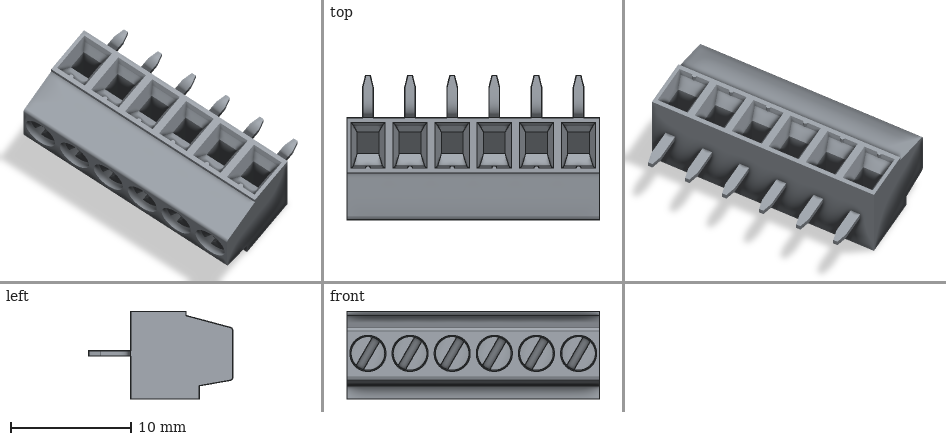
import cadquery as cq
import math


pole_count = 6
pitch = 3.5
length = pole_count * pitch
pole_positions = [(i - (pole_count - 1) / 2) * pitch for i in range(pole_count)]

depth = 8.5
height = 7.3
top_land_depth = 4.6
top_step = 0.35
top_slope_angle = 15
base_depth = 5.7
base_step = 1.1
base_slope_angle = 10
front_edge_radius = 0.3

axis_z = 3.8
recess_diameter = 3.0
recess_depth = 1.3
head_diameter = 2.8
head_setback = 0.6
slot_width = 0.7
slot_depth = 0.6
slot_angle = 60

entry_width = 2.85
entry_rear_y = -0.4
entry_front_y = -4.2
lip_depth = 0.45
lip_rear_inset = 0.24
lip_front_inset = 0.16
funnel_depth = 1.1
wire_hole_size = 1.8
wire_hole_rear_y = -1.2
wire_hole_depth = 4.0
rib_radius = 0.2

pin_width = 0.9
pin_thickness = 0.45
pin_length = 3.5
pin_tip_width = 0.4
pin_tip_length = 1.0


def make_housing():
    """Extrude the stepped, tapered side profile along X and round its two front edges."""
    top_slope_drop = (depth - top_land_depth) * math.tan(math.radians(top_slope_angle))
    base_slope_rise = (depth - base_depth) * math.tan(math.radians(base_slope_angle))
    profile = [
        (0, 0),
        (0, height),
        (-top_land_depth, height),
        (-top_land_depth, height - top_step),
        (-depth, height - top_step - top_slope_drop),
        (-depth, base_step + base_slope_rise),
        (-base_depth, base_step),
        (-base_depth, 0),
    ]
    housing = cq.Workplane("YZ").polyline(profile).close().extrude(length / 2, both=True)
    return housing.faces("<Y").edges("|X").fillet(front_edge_radius)


def entry_section(width, rear_y, front_y, below_top):
    """Rectangular cross-section of a wire entry at a given depth below the top face."""
    size_y = rear_y - front_y
    plane = cq.Workplane("XY", origin=(0, (rear_y + front_y) / 2, height - below_top))
    return plane.rect(width, size_y).wires().val()


def make_wire_entry():
    """Cutter for one wire entry, leaving a half-round rib on the front wall of the lip."""
    throat_width = entry_width - (entry_width - wire_hole_size) * lip_depth / funnel_depth
    mouth = entry_section(entry_width, entry_rear_y, entry_front_y, 0)
    throat = entry_section(
        throat_width, entry_rear_y - lip_rear_inset, entry_front_y + lip_front_inset, lip_depth
    )
    hole_front_y = wire_hole_rear_y - wire_hole_size
    hole_top = entry_section(wire_hole_size, wire_hole_rear_y, hole_front_y, funnel_depth)
    lip = cq.Workplane(cq.Solid.makeLoft([mouth, throat], True))
    funnel = cq.Workplane(cq.Solid.makeLoft([throat, hole_top], True))
    wire_hole = cq.Workplane(cq.Face.makeFromWires(hole_top)).wires().toPending().extrude(-wire_hole_depth)
    rib = cq.Workplane("XY", origin=(0, entry_front_y, height)).circle(rib_radius).extrude(-lip_depth)
    return lip.union(funnel).union(wire_hole).clean().cut(rib)


def make_screw_recess():
    """Cutter for one screw: the recess around the head, plus the slot in the head."""
    face = cq.Workplane("XZ", origin=(0, -depth, axis_z))
    recess = face.circle(recess_diameter / 2).extrude(-recess_depth)
    head_face = cq.Workplane("XZ", origin=(0, -depth + head_setback, axis_z))
    head = head_face.circle(head_diameter / 2).extrude(head_setback - recess_depth)
    slot = (
        head_face.transformed(rotate=(0, 0, slot_angle))
        .rect(recess_diameter, slot_width)
        .extrude(-slot_depth)
    )
    return recess.cut(head.cut(slot))


def make_pin():
    """Flat solder pin with a tapered tip, standing out of the rear face."""
    taper_start = pin_length - pin_tip_length
    outline = [
        (-pin_width / 2, 0),
        (-pin_width / 2, taper_start),
        (-pin_tip_width / 2, pin_length),
        (pin_tip_width / 2, pin_length),
        (pin_width / 2, taper_start),
        (pin_width / 2, 0),
    ]
    plane = cq.Workplane("XY", origin=(0, 0, axis_z))
    return plane.polyline(outline).close().extrude(pin_thickness / 2, both=True)


result = make_housing()
wire_entry = make_wire_entry()
screw_recess = make_screw_recess()
pin = make_pin()

for x in pole_positions:
    result = result.cut(wire_entry.translate((x, 0, 0)))
    result = result.cut(screw_recess.translate((x, 0, 0)))
    result = result.union(pin.translate((x, 0, 0)))